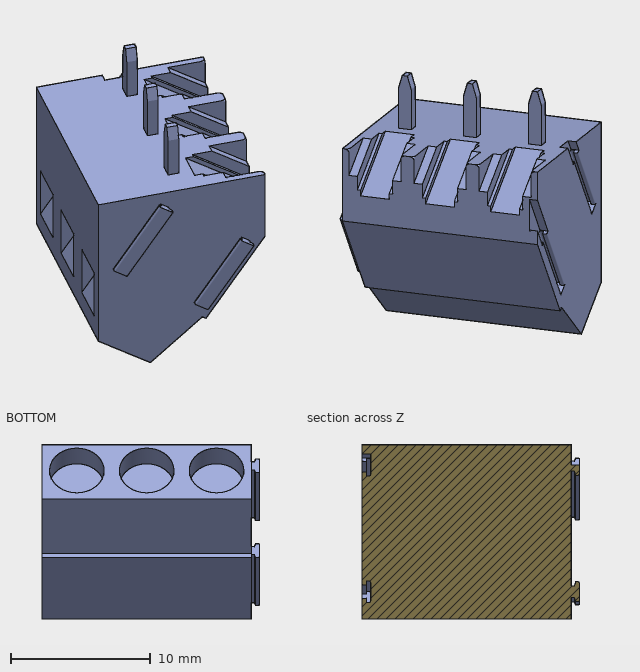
import cadquery as cq
import math


POLES = 3
PITCH = 5.0
LENGTH = POLES * PITCH
DEPTH = 12.5
HEIGHT = 14.8
SCREW_ANGLE = math.radians(55)
BACK_CORNER_Z = -5.45
RIDGE_Y = 3.9
STEP_TIP_Y = 8.07
STEP_ROOT = (7.79, -11.6)

PIN_LENGTH = 4.0
PIN_WIDTH = 1.0
PIN_THICKNESS = 0.8
PIN_TIP_WIDTH = 0.4
PIN_TAPER = 1.0

ENTRY_WIDTH = 3.0
ENTRY_TOP_Z = -6.72
ENTRY_BOTTOM_Z = -10.52

SCREW_DIAMETER = 3.9
SCREW_CENTRE_Y = 1.86
SCREW_HOLE_DEPTH = 1.95

POCKET_STEPS = ((4.0, 2.8), (2.7, 4.25), (2.2, 4.85))
POCKET_CORNER_RADIUS = 0.35

JOINT_START = (4.92, -1.18)
JOINT_SPACING = 7.41
GROOVE_LENGTH = 6.0
GROOVE_DEPTH = 0.62
GROOVE_MOUTH = 0.75
GROOVE_LIP = 0.33
GROOVE_LIP_RADIUS = 0.11
GROOVE_UNDERCUT = 1.24
GROOVE_CORNER_RADIUS = 0.12
LEAD_IN_WIDTH = 1.32
LEAD_IN_LENGTH = 10.0
RAIL_LENGTH = 6.0
RAIL_LEAD = 0.07
RAIL_HEIGHT = 0.58
RAIL_NECK_WIDTH = 0.72
RAIL_NECK_HEIGHT = 0.2
RAIL_HEAD_WIDTH = 1.2
RAIL_HEAD_START = 0.29
RAIL_CORNER_RADIUS = 0.1

COS = math.cos(SCREW_ANGLE)
SIN = math.sin(SCREW_ANGLE)
ARC_MIDDLE = 1 - math.sqrt(0.5)
FRONT_CORNER_Z = RIDGE_Y / math.tan(SCREW_ANGLE) - HEIGHT
POLE_CENTRES = [(i + 0.5) * PITCH for i in range(POLES)]
JOINT_STARTS = [
    (JOINT_START[0] + i * JOINT_SPACING * SIN, JOINT_START[1] - i * JOINT_SPACING * COS)
    for i in range(2)
]


def extrude_side_outline(points, x_centre, width):
    """Extrude a (Y, Z) outline along X, centred on x_centre."""
    plane = cq.Workplane("YZ", origin=(x_centre - width / 2, 0, 0))
    return plane.polyline(points).close().extrude(width)


def make_housing():
    step_tip_z = BACK_CORNER_Z - (DEPTH - STEP_TIP_Y) * math.tan(SCREW_ANGLE)
    outline = [
        (0, 0),
        (DEPTH, 0),
        (DEPTH, BACK_CORNER_Z),
        (STEP_TIP_Y, step_tip_z),
        STEP_ROOT,
        (RIDGE_Y, -HEIGHT),
        (0, FRONT_CORNER_Z),
    ]
    return extrude_side_outline(outline, LENGTH / 2, LENGTH)


def make_pocket_step(x_centre, width, depth):
    """Wedge open to the top and back, with its floor square to the screw axis."""
    front_y = DEPTH - depth
    drop = depth / math.tan(SCREW_ANGLE)
    return extrude_side_outline([(front_y, 0), (DEPTH, 0), (DEPTH, -drop)], x_centre, width)


def make_wire_entry(x_centre):
    """Wedge whose floor rises from the lower edge of the opening, parallel to the screw axis."""
    inner_y = (ENTRY_TOP_Z - ENTRY_BOTTOM_Z) / math.tan(SCREW_ANGLE)
    outline = [(0, ENTRY_BOTTOM_Z), (inner_y, ENTRY_TOP_Z), (0, ENTRY_TOP_Z)]
    return extrude_side_outline(outline, x_centre, ENTRY_WIDTH)


def make_screw_hole(x_centre):
    """Blind hole square to the sloping front face."""
    centre_z = FRONT_CORNER_Z - SCREW_CENTRE_Y / math.tan(SCREW_ANGLE)
    centre = cq.Vector(x_centre, SCREW_CENTRE_Y, centre_z)
    axis = cq.Vector(0, COS, SIN)
    return cq.Solid.makeCylinder(SCREW_DIAMETER / 2, SCREW_HOLE_DEPTH, centre, axis)


def make_pin(x_centre):
    half = PIN_WIDTH / 2
    half_tip = PIN_TIP_WIDTH / 2
    shoulder = PIN_LENGTH - PIN_TAPER
    outline = [
        (-half, 0),
        (half, 0),
        (half, shoulder),
        (half_tip, PIN_LENGTH),
        (-half_tip, PIN_LENGTH),
        (-half, shoulder),
    ]
    plane = cq.Workplane("XZ", origin=(x_centre, DEPTH / 2 + PIN_THICKNESS / 2, 0))
    return plane.polyline(outline).close().extrude(PIN_THICKNESS)


def joint_plane(x, start):
    """Section plane of a joint, its normal running down along the screw axis."""
    plane = cq.Plane(origin=(x, *start), xDir=(1, 0, 0), normal=(0, -COS, -SIN))
    return cq.Workplane(plane)


def make_groove(start):
    """Undercut groove with rounded lips, and the wider lead-in above it."""
    mouth = GROOVE_MOUTH / 2
    cavity = GROOVE_UNDERCUT / 2
    radius = GROOVE_LIP_RADIUS
    middle = radius * ARC_MIDDLE
    corner = GROOVE_CORNER_RADIUS
    inset = corner * ARC_MIDDLE
    groove = (
        joint_plane(0, start)
        .moveTo(0, -mouth - radius)
        .threePointArc((middle, -mouth - middle), (radius, -mouth))
        .lineTo(GROOVE_LIP, -mouth)
        .lineTo(GROOVE_LIP, -cavity)
        .lineTo(GROOVE_DEPTH - corner, -cavity)
        .threePointArc((GROOVE_DEPTH - inset, inset - cavity), (GROOVE_DEPTH, corner - cavity))
        .lineTo(GROOVE_DEPTH, cavity - corner)
        .threePointArc((GROOVE_DEPTH - inset, cavity - inset), (GROOVE_DEPTH - corner, cavity))
        .lineTo(GROOVE_LIP, cavity)
        .lineTo(GROOVE_LIP, mouth)
        .lineTo(radius, mouth)
        .threePointArc((middle, mouth + middle), (0, mouth + radius))
        .close()
        .extrude(GROOVE_LENGTH)
    )
    lead_in = (
        joint_plane(GROOVE_DEPTH / 2, start)
        .rect(GROOVE_DEPTH, LEAD_IN_WIDTH)
        .extrude(-LEAD_IN_LENGTH)
    )
    return groove.union(lead_in)


def make_rail(start):
    """Dovetail rail: a neck that flares into a head with rounded corners."""
    neck = RAIL_NECK_WIDTH / 2
    head = RAIL_HEAD_WIDTH / 2
    radius = RAIL_CORNER_RADIUS
    middle = radius * ARC_MIDDLE
    return (
        joint_plane(LENGTH, start)
        .workplane(offset=-RAIL_LEAD)
        .moveTo(0, -neck)
        .lineTo(RAIL_NECK_HEIGHT, -neck)
        .lineTo(RAIL_HEAD_START, -head)
        .lineTo(RAIL_HEIGHT - radius, -head)
        .threePointArc((RAIL_HEIGHT - middle, middle - head), (RAIL_HEIGHT, radius - head))
        .lineTo(RAIL_HEIGHT, head - radius)
        .threePointArc((RAIL_HEIGHT - middle, head - middle), (RAIL_HEIGHT - radius, head))
        .lineTo(RAIL_HEAD_START, head)
        .lineTo(RAIL_NECK_HEIGHT, neck)
        .lineTo(0, neck)
        .close()
        .extrude(RAIL_LENGTH)
    )


def make_corner_rounding(wall_x, side):
    """Cutter that rounds a pocket wall's top back corner, swept parallel to the pocket floor.

    side is -1 or +1 for a wall whose material lies towards -X or +X of wall_x.
    """
    radius = POCKET_CORNER_RADIUS
    middle = radius * ARC_MIDDLE
    profile = (
        cq.Workplane("XY")
        .moveTo(wall_x, DEPTH - radius)
        .threePointArc((wall_x + side * middle, DEPTH - middle), (wall_x + side * radius, DEPTH))
        .lineTo(wall_x, DEPTH)
        .close()
    )
    sweep = cq.Vector(0, SIN, -COS)
    return cq.Workplane(cq.Solid.extrudeLinear(profile.val(), [], sweep))


result = make_housing()
for pole_x in POLE_CENTRES:
    for step_width, step_depth in POCKET_STEPS:
        result = result.cut(make_pocket_step(pole_x, step_width, step_depth))
    result = result.cut(make_wire_entry(pole_x))
    result = result.cut(cq.Workplane(make_screw_hole(pole_x)))
    for wall_side in (-1, 1):
        pocket_wall_x = pole_x + wall_side * POCKET_STEPS[0][0] / 2
        result = result.cut(make_corner_rounding(pocket_wall_x, wall_side))
for pole_x in POLE_CENTRES:
    result = result.union(make_pin(pole_x))
for joint_start in JOINT_STARTS:
    result = result.cut(make_groove(joint_start))
    result = result.union(make_rail(joint_start))